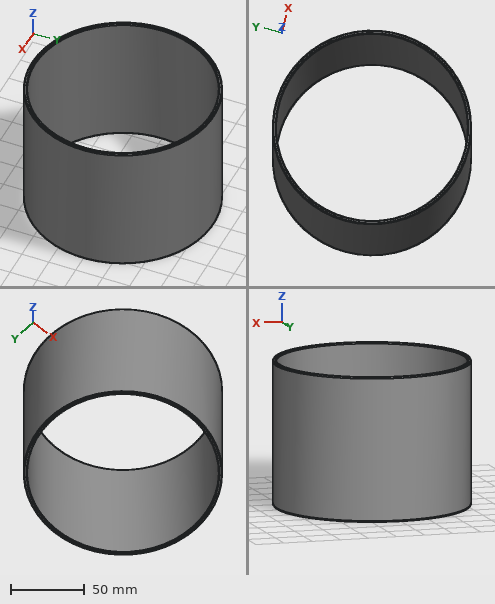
import cadquery as cq

outer_diameter = 135.0
inner_diameter = 130.0
height = 100.0

chamfer_length = 1.0
chamfer_depth = 0.58

outer_radius = outer_diameter / 2
inner_radius = inner_diameter / 2

wall_profile = [
    (outer_radius, chamfer_length),
    (outer_radius, height - chamfer_length),
    (outer_radius - chamfer_depth, height),
    (inner_radius + chamfer_depth, height),
    (inner_radius, height - chamfer_length),
    (inner_radius, chamfer_length),
    (inner_radius + chamfer_depth, 0),
    (outer_radius - chamfer_depth, 0),
]

result = (
    cq.Workplane("YZ")
    .polyline([(-radius, z) for radius, z in wall_profile])
    .close()
    .revolve(360, (0, 0, 0), (0, 1, 0))
)